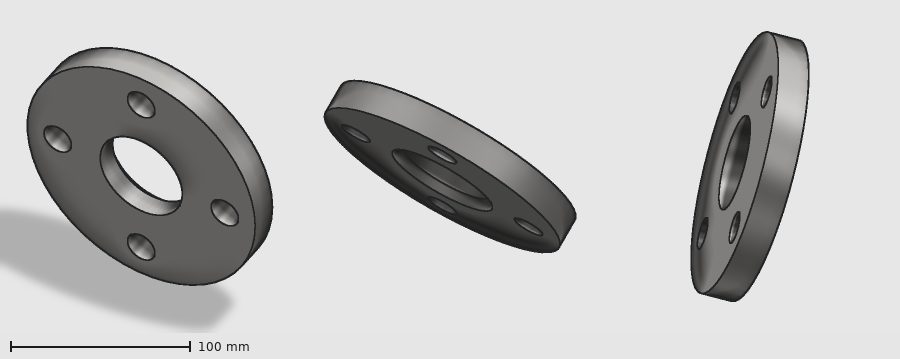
import cadquery as cq

outer_diameter = 150.0
thickness = 18.0
bore_diameter = 54.0
bore_chamfer = 5.0

bolt_hole_count = 4
bolt_hole_diameter = 18.0
bolt_circle_diameter = 110.0

plate = (
    cq.Workplane("XZ")
    .circle(outer_diameter / 2)
    .circle(bore_diameter / 2)
    .extrude(-thickness)
)

plate = plate.faces(">Y").edges(cq.selectors.RadiusNthSelector(0)).chamfer(bore_chamfer)

bolt_holes = (
    cq.Workplane("XZ")
    .polarArray(bolt_circle_diameter / 2, 0, 360, bolt_hole_count)
    .circle(bolt_hole_diameter / 2)
    .extrude(-thickness)
)

result = plate.cut(bolt_holes)